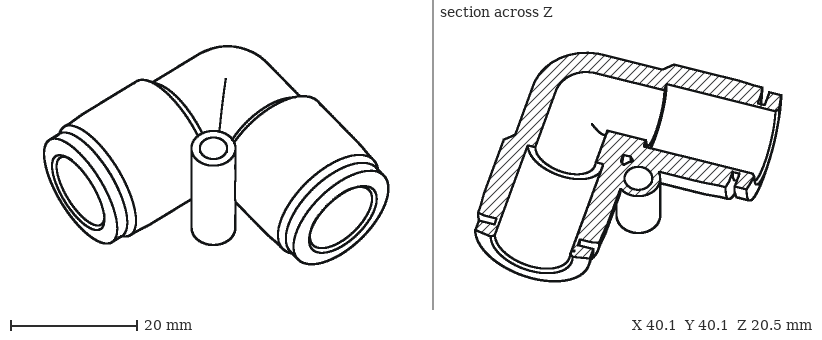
import cadquery as cq

elbow_radius = 8.8
passage_radius = 4.97

body_diameter = 20.5
body_radius = body_diameter / 2
body_rim_radius = 10.05
shoulder_start_at = 9.95
shoulder_end_at = shoulder_start_at + body_radius - elbow_radius
taper_start_at = 22.25
taper_end_at = 24.8
rim_end_at = 26.05
body_end_at = 26.3

overall_length = 40.1
arm_length = overall_length - body_radius
neck_radius = 6.95
collar_radius = 9.5
collar_thickness = 2.5
collar_start_at = arm_length - collar_thickness
collar_face_drop = 0.5

socket_radius = 6.2
mouth_inner_radius = 6.45
mouth_radius = 6.78
mouth_inner_depth = 0.5
mouth_outer_depth = 0.25

eye_offset = 12.35
eye_radius = 3.5
eye_hole_radius = 2.15
eye_height = body_diameter


def turned(profile):
    """Revolve a (radius, distance) profile about the -Y arm axis."""
    points = [(radius, -distance) for radius, distance in profile]
    return cq.Workplane("XY").polyline(points).close().revolve(360, (0, 0), (0, 1))


def on_both_arms(shape):
    """Repeat a -Y arm shape on the +X arm."""
    return shape.union(shape.rotate((0, 0, 0), (0, 0, 1), 90))


def arm_outside():
    return turned([
        (0, 0),
        (elbow_radius, 0),
        (elbow_radius, shoulder_start_at),
        (body_radius, shoulder_end_at),
        (body_radius, taper_start_at),
        (body_rim_radius, taper_end_at),
        (body_rim_radius, rim_end_at),
        (elbow_radius, body_end_at),
        (neck_radius, body_end_at),
        (neck_radius, collar_start_at),
        (collar_radius, collar_start_at),
        (collar_radius, arm_length - collar_face_drop),
        (mouth_radius, arm_length),
        (0, arm_length),
    ])


def arm_inside():
    return turned([
        (0, 0),
        (passage_radius, 0),
        (passage_radius, shoulder_end_at),
        (socket_radius, shoulder_end_at),
        (socket_radius, arm_length - mouth_inner_depth),
        (mouth_inner_radius, arm_length - mouth_outer_depth),
        (mouth_radius, arm_length),
        (0, arm_length),
    ])


def eye_cylinder(radius):
    return (
        cq.Workplane("XY", origin=(0, 0, -eye_height / 2))
        .center(eye_offset, -eye_offset)
        .circle(radius)
        .extrude(eye_height)
    )


outside = on_both_arms(arm_outside()).union(cq.Workplane("XY").sphere(elbow_radius))
inside = on_both_arms(arm_inside()).union(cq.Workplane("XY").sphere(passage_radius))

fitting = outside.union(eye_cylinder(eye_radius))
fitting = fitting.cut(inside).cut(eye_cylinder(eye_hole_radius))

centre_shift = (arm_length - body_radius) / 2
result = fitting.translate((-centre_shift, centre_shift, 0))